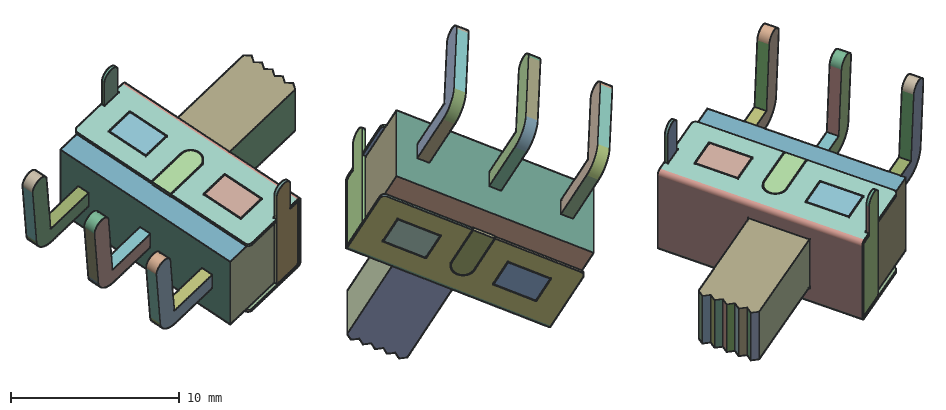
import cadquery as cq
import math

sheet = 0.2
clearance = 0.05

cover_length = 13.5
cover_depth = 4.8
cover_height = 6.6
bend_radius = 0.3
flange_corner = 0.3

base_length = cover_length - 2 * sheet
base_end = 6.28
base_front = sheet + clearance
base_depth = base_end - base_front
base_top = cover_height / 2 - sheet - clearance
base_bottom = -base_top
base_height = 2 * base_top

latch_length = 2.8
latch_depth = 1.88
latch_x = 3.66
latch_y = -2.575

key_width = 1.42
key_tip = 1.37

tab_width = 1.25
tab_edge = 2.2
tab_top = 6.1

knob_width = 4.0
knob_height = 4.0
knob_reach = 7.0
knob_x = -1.25
tooth_count = 5
tooth_height = 0.3

pin_width = 0.8
pin_thickness = 1.3
pin_pitch = 4.77
pin_count = 3
pin_corner = 9.785
pin_bend_radius = 1.45
pin_top = 6.5
pin_lean = math.radians(4)


def latch_prism(gap):
    """Two rectangular blocks, one on each side, through the whole cover height."""
    return (
        cq.Workplane("XY", origin=(0, 0, -cover_height / 2))
        .pushPoints([(-latch_x, latch_y), (latch_x, latch_y)])
        .rect(latch_length + 2 * gap, latch_depth + 2 * gap)
        .extrude(cover_height)
    )


def key_prism(gap):
    """Round-ended key, open to the rear edge of the flanges, through the whole cover height."""
    radius = key_width / 2 + gap
    centre_y = -(key_tip + key_width / 2)
    return (
        cq.Workplane("XY", origin=(0, 0, -cover_height / 2))
        .moveTo(-radius, -cover_depth)
        .lineTo(-radius, centre_y)
        .threePointArc((0, centre_y + radius), (radius, centre_y))
        .lineTo(radius, -cover_depth)
        .close()
        .extrude(cover_height)
    )


def tab_slots():
    """Notches in the upper flange that let the mounting tabs through."""
    slot_x = sheet + clearance
    slot_y = tab_width + 2 * clearance
    end_x = cover_length / 2 - slot_x / 2
    centre_y = -(tab_edge - tab_width / 2)
    return (
        cq.Workplane("XY", origin=(0, 0, base_top))
        .pushPoints([(-end_x, centre_y), (end_x, centre_y)])
        .rect(slot_x, slot_y)
        .extrude(cover_height / 2)
    )


def make_cover():
    """Bent sheet cover: a front plate with an upper and a lower flange."""
    inner_height = cover_height - 2 * sheet
    shell = (
        cq.Workplane("XY")
        .box(cover_length, cover_depth, cover_height, centered=(True, False, True))
        .translate((0, -cover_depth, 0))
        .edges("|X and >Y")
        .fillet(bend_radius)
        .edges("|Z and <Y")
        .fillet(flange_corner)
    )
    cavity = (
        cq.Workplane("XY")
        .box(cover_length, cover_depth, inner_height, centered=(True, False, True))
        .translate((0, -cover_depth - sheet, 0))
    )
    knob_window = (
        cq.Workplane("XZ", origin=(knob_x, 0, 0))
        .rect(knob_width + 2 * clearance, knob_height + 2 * clearance)
        .extrude(sheet)
    )
    return (
        shell.cut(cavity)
        .cut(knob_window)
        .cut(latch_prism(clearance))
        .cut(key_prism(clearance))
        .cut(tab_slots())
    )


def make_base():
    """Insulating block behind the front plate."""
    return (
        cq.Workplane("XY", origin=(0, -base_end, base_bottom))
        .box(base_length, base_depth, base_height, centered=(True, False, False))
    )


def make_tab(start_x):
    """End strip over the block height that narrows to an upright round-ended tab."""
    radius = tab_width / 2
    front_edge = -(tab_edge - tab_width)
    return (
        cq.Workplane("YZ", origin=(start_x, 0, 0))
        .moveTo(-base_front, base_bottom)
        .lineTo(-base_front, base_top)
        .lineTo(front_edge, base_top)
        .lineTo(front_edge, tab_top - radius)
        .threePointArc((front_edge - radius, tab_top), (-tab_edge, tab_top - radius))
        .lineTo(-tab_edge, base_bottom)
        .close()
        .extrude(sheet)
    )


def make_knob():
    """Square knob reaching back to the block, with a toothed grip at its free end."""
    pitch = knob_width / tooth_count
    valley_y = knob_reach - tooth_height
    left = knob_x - knob_width / 2
    outline = [(left, -base_front), (left, valley_y)]
    for tooth in range(tooth_count):
        outline.append((left + (tooth + 0.5) * pitch, knob_reach))
        outline.append((left + (tooth + 1) * pitch, valley_y))
    outline.append((left + knob_width, -base_front))
    return (
        cq.Workplane("XY", origin=(0, 0, -knob_height / 2))
        .polyline(outline)
        .close()
        .extrude(knob_height)
    )


def make_pin(centre_x):
    """Flat terminal bent upward, leaning outward, with a round tip and a round outer bend."""
    half = pin_thickness / 2
    lean_y = -math.sin(pin_lean)
    lean_z = math.cos(pin_lean)
    out_y = -lean_z
    out_z = lean_y

    corner_y = -pin_corner
    corner_z = half
    turn = math.pi / 2 - pin_lean
    outer_corner_y = corner_y - pin_thickness * math.tan(turn / 2)
    tangent_length = pin_bend_radius * math.tan(turn / 2)
    bend_start = (outer_corner_y + tangent_length, -half)
    bend_end = (outer_corner_y + tangent_length * lean_y, -half + tangent_length * lean_z)
    bend_mid = (
        bend_start[0] - pin_bend_radius * math.sin(turn / 2),
        bend_start[1] + pin_bend_radius * (1 - math.cos(turn / 2)),
    )

    tip_z = pin_top - half
    arm_length = (tip_z - corner_z - half * out_z) / lean_z
    tip_y = corner_y + half * out_y + arm_length * lean_y
    return (
        cq.Workplane("YZ", origin=(centre_x - pin_width / 2, 0, 0))
        .moveTo(-base_end, half)
        .lineTo(corner_y, corner_z)
        .lineTo(tip_y - half * out_y, tip_z - half * out_z)
        .threePointArc(
            (tip_y + half * lean_y, tip_z + half * lean_z),
            (tip_y + half * out_y, tip_z + half * out_z),
        )
        .lineTo(*bend_end)
        .threePointArc(bend_mid, bend_start)
        .lineTo(-base_end, -half)
        .close()
        .extrude(pin_width)
    )


def make_switch_body():
    """Block with its latches, keys, mounting tabs, knob and terminals as one solid."""
    body = make_base().union(latch_prism(0)).union(key_prism(0)).union(make_knob())
    for start_x in (-cover_length / 2, base_length / 2):
        body = body.union(make_tab(start_x))
    for pin in range(pin_count):
        body = body.union(make_pin((pin - (pin_count - 1) / 2) * pin_pitch))
    return body


cover = make_cover()
switch_body = make_switch_body()

result = cq.Compound.makeCompound([cover.val(), switch_body.val()])